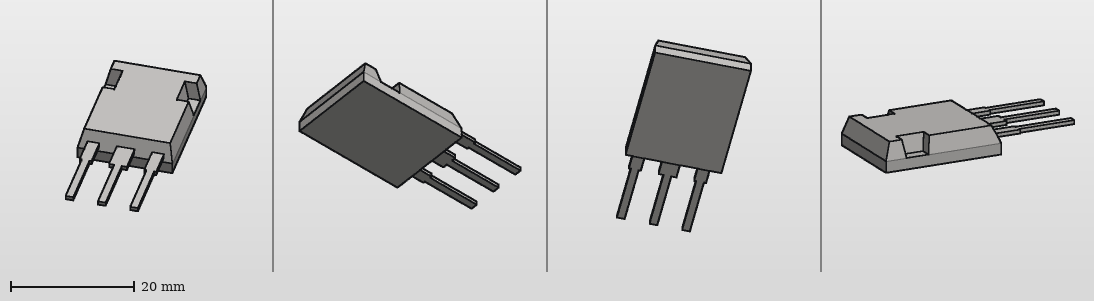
import cadquery as cq

BODY_WIDTH = 16.0
BODY_LENGTH = 21.0
BODY_HEIGHT = 5.0
BASE_HEIGHT = 2.0
SIDE_INSET = 0.75
BACK_INSET = 1.0
FRONT_INSET = 1.42

NOTCH_CENTER_FROM_BACK = 5.75
NOTCH_FLOOR_LENGTH = 4.0
NOTCH_TOP_LENGTH = 5.0
NOTCH_FLOOR_DEPTH = 2.0
NOTCH_TOP_DEPTH = 2.75

LEAD_PITCH = 5.44
LEAD_THICKNESS = 0.7
LEAD_BOTTOM = 2.5
LEAD_REACH = 14.25
PIN_LENGTH = 10.0
PIN_WIDTH = 1.3
OUTER_SHOULDER_WIDTH = 2.0
MIDDLE_SHOULDER_WIDTH = 3.0
LEAD_EMBED = 2.0

BACK_Y = BODY_LENGTH / 2
FRONT_Y = -BODY_LENGTH / 2
HALF_WIDTH = BODY_WIDTH / 2


def rectangle_wire(x_min, x_max, y_min, y_max, z):
    """Closed rectangle in a horizontal plane at height z."""
    corners = [(x_min, y_min, z), (x_max, y_min, z), (x_max, y_max, z), (x_min, y_max, z)]
    return cq.Wire.makePolygon([cq.Vector(*corner) for corner in corners], close=True)


def tapered_block(lower_wire, upper_wire):
    """Solid with flat sides between two rectangles."""
    return cq.Workplane(obj=cq.Solid.makeLoft([lower_wire, upper_wire], True))


def make_body():
    base = cq.Workplane("XY").box(BODY_WIDTH, BODY_LENGTH, BASE_HEIGHT, centered=(True, True, False))
    top_half_width = HALF_WIDTH - SIDE_INSET
    upper = tapered_block(
        rectangle_wire(-HALF_WIDTH, HALF_WIDTH, FRONT_Y, BACK_Y, BASE_HEIGHT),
        rectangle_wire(
            -top_half_width, top_half_width, FRONT_Y + FRONT_INSET, BACK_Y - BACK_INSET, BODY_HEIGHT
        ),
    )
    return base.union(upper)


def make_notch(side):
    """Cutter for one side notch; side is -1 or +1 along X."""
    center_y = BACK_Y - NOTCH_CENTER_FROM_BACK
    outer_x = side * BODY_WIDTH

    def outline(depth, length, z):
        x_min, x_max = sorted((side * (HALF_WIDTH - depth), outer_x))
        return rectangle_wire(x_min, x_max, center_y - length / 2, center_y + length / 2, z)

    return tapered_block(
        outline(NOTCH_FLOOR_DEPTH, NOTCH_FLOOR_LENGTH, BASE_HEIGHT),
        outline(NOTCH_TOP_DEPTH, NOTCH_TOP_LENGTH, BODY_HEIGHT),
    )


def make_lead(center_x, shoulder_width):
    def bar(width, y_start, y_end):
        return (
            cq.Workplane("XY", origin=(center_x, (y_start + y_end) / 2, LEAD_BOTTOM))
            .rect(width, y_end - y_start)
            .extrude(LEAD_THICKNESS)
        )

    tip_y = FRONT_Y - LEAD_REACH
    inner_y = FRONT_Y + LEAD_EMBED
    shoulder = bar(shoulder_width, tip_y + PIN_LENGTH, inner_y)
    pin = bar(PIN_WIDTH, tip_y, inner_y)
    return shoulder.union(pin)


result = make_body()
for side in (-1, 1):
    result = result.cut(make_notch(side))
    result = result.union(make_lead(side * LEAD_PITCH, OUTER_SHOULDER_WIDTH))
result = result.union(make_lead(0, MIDDLE_SHOULDER_WIDTH))